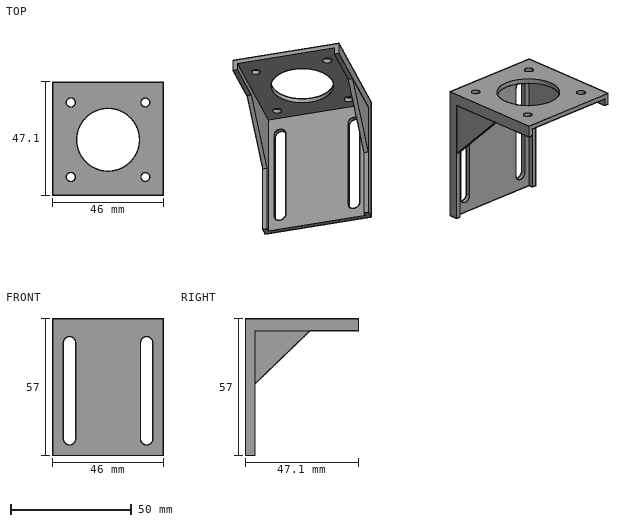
import cadquery as cq

width = 46.05
depth = 47.15
height = 57.0
plate_thickness = 2.0

wall_thickness = 2.0
top_rim = 5.0
front_rim = 4.0
gusset_depth = 22.9
gusset_height = 22.1
gusset_recess = 0.1

bore_diameter = 26.05
left_screw_diameter = 3.7
right_screw_diameter = 3.6
screw_spacing = 31.0
bore_center_y = 23.15

slot_width = 5.0
slot_length = 45.05
slot_spacing = 32.1
slot_center_z = 27.0


def make_angle(length_x, top_thickness, front_thickness):
    """L-shaped profile, front face on Y = 0 and base on Z = 0, centred on X = 0."""
    inner_z = height - top_thickness
    return (
        cq.Workplane("YZ")
        .polyline(
            [
                (0, 0),
                (front_thickness, 0),
                (front_thickness, inner_z),
                (depth, inner_z),
                (depth, height),
                (0, height),
            ]
        )
        .close()
        .extrude(length_x / 2, both=True)
    )


def make_left_wall():
    """L-shaped rim on the -X side, its gusset set slightly in from the outer face."""
    outer_x = -width / 2
    rim = make_angle(wall_thickness, top_rim, front_rim).translate((outer_x + wall_thickness / 2, 0, 0))
    gusset = (
        cq.Workplane("YZ", origin=(outer_x + gusset_recess, front_rim, height - top_rim))
        .polyline([(0, 0), (gusset_depth, 0), (0, -gusset_height)])
        .close()
        .extrude(wall_thickness - gusset_recess)
    )
    return rim.union(gusset)


def make_top_holes():
    """Cutters for the motor opening and the screw holes around it."""
    plane = cq.Workplane("XY", origin=(0, bore_center_y, height - plate_thickness))
    cutters = plane.circle(bore_diameter / 2).extrude(plate_thickness)
    offset = screw_spacing / 2
    for x, diameter in ((-offset, left_screw_diameter), (offset, right_screw_diameter)):
        screws = plane.pushPoints([(x, -offset), (x, offset)]).circle(diameter / 2)
        cutters = cutters.union(screws.extrude(plate_thickness))
    return cutters


def make_slots():
    """Cutters for the pair of slots through the front plate."""
    return (
        cq.Workplane("XZ", origin=(0, 0, slot_center_z))
        .pushPoints([(-slot_spacing / 2, 0), (slot_spacing / 2, 0)])
        .slot2D(slot_length, slot_width, angle=90)
        .extrude(-plate_thickness)
    )


result = make_angle(width, plate_thickness, plate_thickness)
left_wall = make_left_wall()
result = result.union(left_wall).union(left_wall.mirror("YZ"))
result = result.cut(make_top_holes()).cut(make_slots())